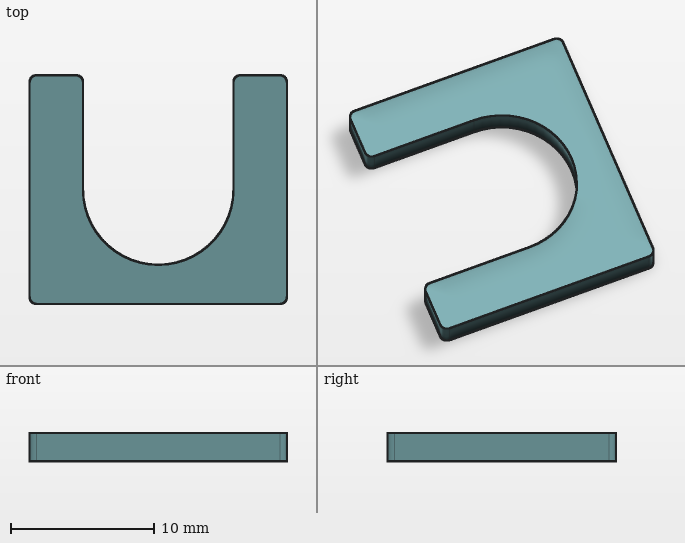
import cadquery as cq

width = 18.0
depth = 16.0
thickness = 2.0
corner_radius = 0.5

slot_width = 10.5
slot_radius = slot_width / 2


def make_plate():
    return cq.Workplane("XY").box(width, depth, thickness)


def make_slot_cutter():
    straight_length = depth / 2
    round_end = cq.Workplane("XY").cylinder(thickness, slot_radius)
    straight_run = (
        cq.Workplane("XY")
        .box(slot_width, straight_length, thickness)
        .translate((0, straight_length / 2, 0))
    )
    return round_end.union(straight_run)


def round_corners(body):
    """Round the four outer corners and the two corners at the slot mouth."""
    end_corners = body.faces("<Y or >Y").edges("|Z")
    return end_corners.fillet(corner_radius)


result = round_corners(make_plate().cut(make_slot_cutter()))